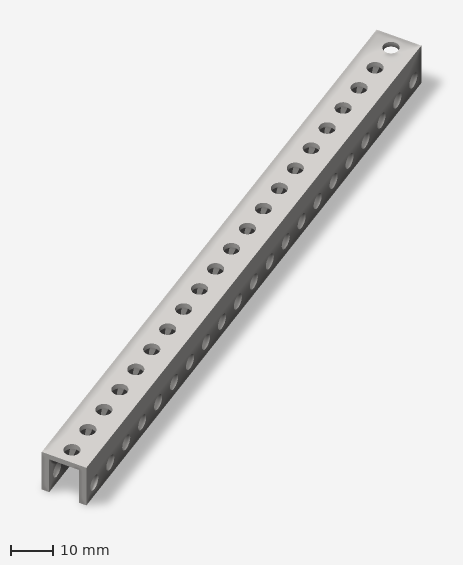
import cadquery as cq

length = 168.0
width = 12.0
height = 12.0
side_wall = 2.0
web_thickness = 1.5
hole_count = 21
hole_diameter = 4.0
side_hole_height = 4.0

pitch = length / hole_count
first_hole = -length / 2 + pitch / 2
hole_places = [first_hole + i * pitch for i in range(hole_count)]


def channel():
    """U-channel running along Y, with its free edges on Z = 0."""
    outer = cq.Workplane("XY").box(width, length, height, centered=(True, True, False))
    inner_width = width - 2 * side_wall
    inner_height = height - web_thickness
    inner = cq.Workplane("XY").box(inner_width, length, inner_height, centered=(True, True, False))
    return outer.cut(inner)


def web_holes():
    """Row of vertical cylinders along the middle of the web."""
    return (
        cq.Workplane("XY")
        .pushPoints([(0, y) for y in hole_places])
        .circle(hole_diameter / 2)
        .extrude(height)
    )


def side_holes():
    """Row of cylinders along X that pierce both side walls."""
    return (
        cq.Workplane("YZ")
        .pushPoints([(y, side_hole_height) for y in hole_places])
        .circle(hole_diameter / 2)
        .extrude(width / 2, both=True)
    )


result = channel().cut(web_holes()).cut(side_holes())